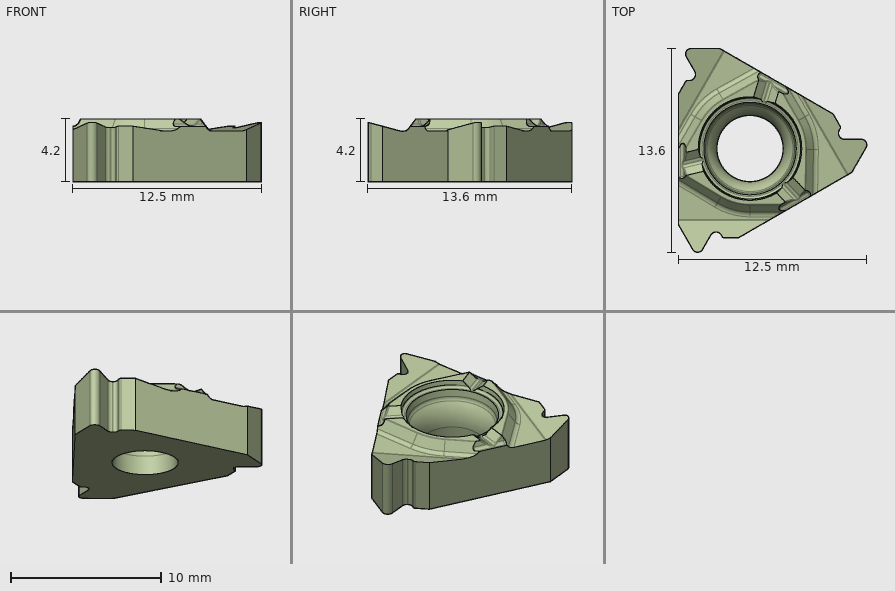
import cadquery as cq
import math


corner_count = 3
corner_pitch = 360 / corner_count
overall_length = 13.56
inscribed_radius = 4.76
floor_height = 3.39
top_height = 4.2
stock_half_size = 13.56

flank_angle = math.radians(60)
tip_radius = 0.38
tip_y = -6.52
tip_x = -(overall_length - 2 * tip_radius + 1.5 * tip_y) / math.sin(flank_angle)
notch_radius = 0.37
notch_flat = 0.04
notch_top_y = -5.56
shoulder_y = -5.94
shoulder_radius = 0.14

rake_start_y = -4.75
rake_angle = math.radians(15)
rake_blend_radius = 0.25

island_top_radius = 3.73
island_wall_angle = 37.0
island_arc_span = 31.0
island_foot_radius = 0.41
island_rim_radius = 0.05

hole_radius = 4.4 / 2
hole_straight_height = 1.32
seat_top_radius = 2.86
seat_top_height = 2.95
wall_foot_radius = 2.97
wall_foot_height = 3.24
ledge_inner_radius = 3.08
ledge_height = 3.72
ledge_fillet = 0.18
recess_foot_radius = 3.36
recess_top_radius = 3.45

groove_angle = 193.5
groove_floor_half_width = 0.14
groove_top_half_width = 0.75
groove_floor_height = 3.72
groove_fillet = 0.31
groove_inner_radius = 2.98

pocket_floor_height = 3.69
pocket_foot_x = -4.45
pocket_top_x = -4.26
pocket_fillet = 0.27
pocket_end_radius = 0.14
pocket_y_min = -2.0
pocket_y_max = 0.41
meeting_radius = 0.08

overcut = 0.68


def turned(x, y, degrees):
    """Rotate a point about the Z axis."""
    a = math.radians(degrees)
    return (x * math.cos(a) - y * math.sin(a), x * math.sin(a) + y * math.cos(a))


def polar(radius, degrees, center=(0, 0)):
    """Point on a circle at the given angle."""
    a = math.radians(degrees)
    return (center[0] + radius * math.cos(a), center[1] + radius * math.sin(a))


def around(solid):
    """One copy of the solid for every corner."""
    return [solid.rotate((0, 0, 0), (0, 0, 1), i * corner_pitch) for i in range(corner_count)]


def insert_blank():
    """Straight-walled prism with a tip and a notch at each corner."""
    tip = (tip_x, tip_y)
    flank_left = polar(tip_radius, 210, tip)
    tip_bottom = polar(tip_radius, 270, tip)
    flank_right = polar(tip_radius, 330, tip)

    side_end_y = flank_left[1] + (flank_left[0] + inscribed_radius) * math.tan(flank_angle)

    notch_y = notch_top_y - notch_radius
    gap = tip_radius + notch_radius
    notch_x = tip_x + (gap + (notch_y - tip_y) / 2) / math.sin(flank_angle)
    notch = (notch_x, notch_y)
    notch_left = polar(notch_radius, 150, notch)
    notch_middle = polar(notch_radius, 120, notch)
    notch_top = polar(notch_radius, 90, notch)
    notch_top_right = (notch_top[0] + notch_flat, notch_top[1])
    right_center = (notch_x + notch_flat, notch_y)
    notch_bend = polar(notch_radius, 60, right_center)
    notch_right = polar(notch_radius, 30, right_center)

    shoulder_left_x = notch_right[0] + (notch_right[1] - shoulder_y) / math.tan(flank_angle)
    setback = shoulder_radius * math.tan(flank_angle / 2)
    shoulder_start = (
        shoulder_left_x - setback * math.cos(flank_angle),
        shoulder_y + setback * math.sin(flank_angle),
    )
    shoulder_end = (shoulder_left_x + setback, shoulder_y)
    shoulder_right_x = 2 * inscribed_radius + math.sqrt(3) * shoulder_y

    outline = cq.Workplane("XY").moveTo(-inscribed_radius, side_end_y)
    for i in range(corner_count):
        turn = i * corner_pitch
        if i > 0:
            outline = outline.lineTo(*turned(-inscribed_radius, side_end_y, turn))
        outline = (
            outline.lineTo(*turned(*flank_left, turn))
            .threePointArc(turned(*tip_bottom, turn), turned(*flank_right, turn))
            .lineTo(*turned(*notch_left, turn))
            .threePointArc(turned(*notch_middle, turn), turned(*notch_top, turn))
            .lineTo(*turned(*notch_top_right, turn))
            .threePointArc(turned(*notch_bend, turn), turned(*notch_right, turn))
            .lineTo(*turned(*shoulder_start, turn))
            .tangentArcPoint(turned(*shoulder_end, turn), relative=False)
            .lineTo(*turned(shoulder_right_x, shoulder_y, turn))
        )
    return outline.close().extrude(top_height)


def island():
    """Tapered island: three arcs joined by tangents that meet outside the side faces."""
    rise = top_height - floor_height
    foot = island_top_radius + rise * math.tan(math.radians(island_wall_angle))
    arc_start = 270 - island_arc_span
    half_gap = (corner_pitch - island_arc_span) / 2
    tangent_corner = polar(foot / math.cos(math.radians(half_gap)), 270 + half_gap)
    outline = cq.Workplane("XY").workplane(offset=floor_height).moveTo(*polar(foot, arc_start))
    for i in range(corner_count):
        turn = i * corner_pitch
        if i > 0:
            outline = outline.lineTo(*polar(foot, arc_start + turn))
        outline = outline.threePointArc(
            polar(foot, 270 - island_arc_span / 2 + turn), polar(foot, 270 + turn)
        ).lineTo(*turned(*tangent_corner, turn))
    solid = outline.close().extrude(rise, taper=island_wall_angle)
    return solid.faces(">Z").edges().fillet(island_rim_radius)


def rake_wedge():
    """Wedge that rises from the floor towards the tip at -Y, with a blended root."""
    root = rake_blend_radius * math.tan(rake_angle / 2)
    run = stock_half_size / 2
    blend_end = (
        rake_start_y - root * math.cos(rake_angle),
        floor_height + root * math.sin(rake_angle),
    )
    far_y = rake_start_y - run
    return (
        cq.Workplane("YZ")
        .moveTo(far_y, floor_height + run * math.tan(rake_angle))
        .lineTo(*blend_end)
        .tangentArcPoint((rake_start_y + root, floor_height), relative=False)
        .lineTo(rake_start_y + root, floor_height - overcut)
        .lineTo(far_y, floor_height - overcut)
        .close()
        .extrude(stock_half_size / 2, both=True)
    )


def screw_hole():
    """Revolved hole: recess, ledge, cone wall, curved seat and straight bore."""
    drop = seat_top_height - hole_straight_height
    step = seat_top_radius - hole_radius
    seat_radius = (step**2 + drop**2) / (2 * step)
    half_sweep = math.asin(drop / seat_radius) / 2
    seat_middle = (
        hole_radius + seat_radius * (1 - math.cos(half_sweep)),
        hole_straight_height + seat_radius * math.sin(half_sweep),
    )
    return (
        cq.Workplane("XZ")
        .moveTo(0, -overcut)
        .lineTo(hole_radius, -overcut)
        .lineTo(hole_radius, hole_straight_height)
        .threePointArc(seat_middle, (seat_top_radius, seat_top_height))
        .tangentArcPoint((wall_foot_radius, wall_foot_height), relative=False)
        .lineTo(ledge_inner_radius, ledge_height)
        .lineTo(recess_foot_radius - ledge_fillet, ledge_height)
        .tangentArcPoint((recess_foot_radius, ledge_height + ledge_fillet), relative=False)
        .lineTo(recess_top_radius, top_height)
        .lineTo(recess_top_radius, top_height + overcut)
        .lineTo(0, top_height + overcut)
        .close()
        .revolve(360, (0, 0, 0), (0, 1, 0))
    )


def groove():
    """V-groove cutter along +X with a flat, rounded floor."""
    depth = top_height - groove_floor_height
    slope = (groove_top_half_width - groove_floor_half_width) / depth
    mouth_half_width = groove_top_half_width + overcut * slope
    return (
        cq.Workplane("YZ")
        .workplane(offset=groove_inner_radius)
        .moveTo(-groove_floor_half_width, groove_floor_height)
        .lineTo(groove_floor_half_width, groove_floor_height)
        .lineTo(mouth_half_width, top_height + overcut)
        .lineTo(-mouth_half_width, top_height + overcut)
        .close()
        .extrude(inscribed_radius)
        .faces("<Z")
        .edges("|X")
        .fillet(groove_fillet)
    )


def edge_pocket():
    """Pocket cutter along the side face at -X, with a leaning inner wall and rounded ends."""
    outer_x = -inscribed_radius - overcut
    lean = (pocket_top_x - pocket_foot_x) / (top_height - pocket_floor_height)
    pocket = (
        cq.Workplane("XZ")
        .workplane(offset=-pocket_y_max)
        .moveTo(outer_x, pocket_floor_height)
        .lineTo(pocket_foot_x, pocket_floor_height)
        .lineTo(pocket_top_x + overcut * lean, top_height + overcut)
        .lineTo(outer_x, top_height + overcut)
        .close()
        .extrude(pocket_y_max - pocket_y_min)
    )
    pocket = pocket.faces("<Z").edges("|Y").edges(">X").fillet(pocket_fillet)
    end_rim = cq.selectors.BoxSelector(
        (outer_x + 0.14, pocket_y_min - 0.14, 0), (0, pocket_y_max + 0.14, top_height + overcut - 0.14)
    )
    return pocket.faces(">Y or <Y").edges(end_rim).fillet(pocket_end_radius)


def side_relief():
    """Groove and pocket joined into one cutter, with rounded meeting edges."""
    relief = edge_pocket().union(groove().rotate((0, 0, 0), (0, 0, 1), groove_angle))
    meeting_zone = cq.selectors.BoxSelector(
        (pocket_foot_x - 0.14, -2.71, pocket_floor_height + 0.07), (pocket_top_x + 0.41, 0.68, 4.88)
    )
    return relief.edges(meeting_zone).fillet(meeting_radius)


stock = cq.Workplane("XY").rect(2 * stock_half_size, 2 * stock_half_size).extrude(floor_height)
foot_zone = cq.selectors.BoxSelector(
    (-stock_half_size / 2, -stock_half_size / 2, floor_height - 0.01),
    (stock_half_size / 2, stock_half_size / 2, floor_height + 0.01),
)
result = stock.union(island()).edges(foot_zone).fillet(island_foot_radius)

for wedge in around(rake_wedge()):
    result = result.union(wedge)
result = result.intersect(insert_blank())

result = result.cut(screw_hole())
for cutter in around(side_relief()):
    result = result.cut(cutter)